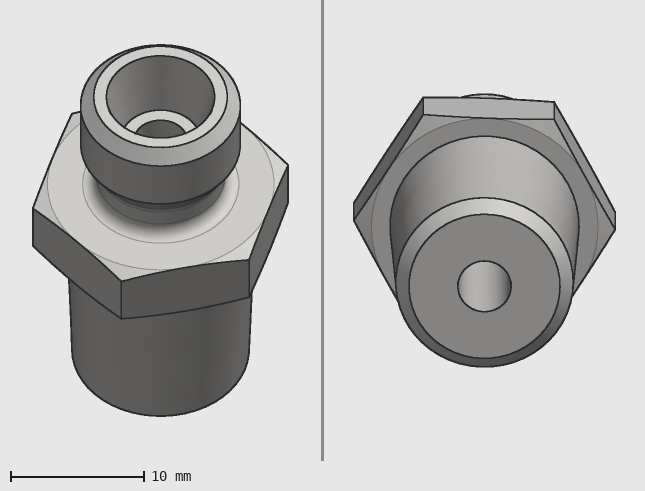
import cadquery as cq
import math

total_height = 30.0
hex_across_flats = 17.0
hex_bottom = 15.0
hex_top = 20.0
hex_chamfer_angle = 15.0

stem_top_diameter = 14.2
stem_taper = 1 / 16
end_chamfer = 1.0

collar_diameter = 12.0
collar_bottom = 24.65
neck_diameter = 9.7
cone_half_angle = 30.0
cone_fillet = 1.0
neck_fillet = 1.02

bore_diameter = 4.0
socket_diameter = 6.0
mouth_diameter = 8.13
mouth_half_angle = 12.0


def stem_radius(height):
    return (stem_top_diameter - stem_taper * (hex_bottom - height)) / 2


def make_hexagon():
    """Hexagon with both ends turned to a shallow cone at the corners."""
    height = hex_top - hex_bottom
    corner_diameter = hex_across_flats / math.cos(math.radians(30))
    chamfer_width = (corner_diameter - hex_across_flats) / 2
    chamfer_drop = chamfer_width * math.tan(math.radians(hex_chamfer_angle))
    prism = (
        cq.Workplane("XY")
        .workplane(offset=hex_bottom)
        .polygon(6, corner_diameter)
        .extrude(height)
        .rotate((0, 0, 0), (0, 0, 1), 30)
    )
    turned_blank = (
        cq.Workplane("XY")
        .workplane(offset=hex_bottom)
        .circle(corner_diameter / 2)
        .extrude(height)
        .faces("<Z or >Z")
        .chamfer(chamfer_drop, chamfer_width)
    )
    return prism.intersect(turned_blank)


def make_stem():
    """Tapered stem with a chamfered free end."""
    end_radius = stem_radius(end_chamfer)
    return (
        cq.Workplane("XZ")
        .lineTo(end_radius - end_chamfer, 0)
        .lineTo(end_radius, end_chamfer)
        .lineTo(stem_radius(hex_bottom), hex_bottom)
        .lineTo(0, hex_bottom)
        .close()
        .revolve(360, (0, 0, 0), (0, 1, 0))
    )


def make_collar():
    """Neck with concave fillets at both ends, and the wider collar above."""
    neck_radius = neck_diameter / 2
    collar_radius = collar_diameter / 2
    cone_angle = math.radians(cone_half_angle)
    cone_foot_radius = neck_radius + cone_fillet * (1 - math.cos(cone_angle))
    cone_foot_height = collar_bottom - (collar_radius - cone_foot_radius) / math.tan(cone_angle)
    neck_top = cone_foot_height - cone_fillet * math.sin(cone_angle)
    return (
        cq.Workplane("XZ")
        .moveTo(0, hex_top)
        .lineTo(neck_radius + neck_fillet, hex_top)
        .radiusArc((neck_radius, hex_top + neck_fillet), neck_fillet)
        .lineTo(neck_radius, neck_top)
        .radiusArc((cone_foot_radius, cone_foot_height), cone_fillet)
        .lineTo(collar_radius, collar_bottom)
        .lineTo(collar_radius, total_height - end_chamfer)
        .lineTo(collar_radius - end_chamfer, total_height)
        .lineTo(0, total_height)
        .close()
        .revolve(360, (0, 0, 0), (0, 1, 0))
    )


def make_bore():
    mouth_depth = (mouth_diameter - socket_diameter) / 2 / math.tan(math.radians(mouth_half_angle))
    socket_bottom = total_height - mouth_depth
    return (
        cq.Workplane("XZ")
        .lineTo(bore_diameter / 2, 0)
        .lineTo(bore_diameter / 2, socket_bottom)
        .lineTo(socket_diameter / 2, socket_bottom)
        .lineTo(mouth_diameter / 2, total_height)
        .lineTo(0, total_height)
        .close()
        .revolve(360, (0, 0, 0), (0, 1, 0))
    )


result = make_hexagon().union(make_stem()).union(make_collar()).cut(make_bore())